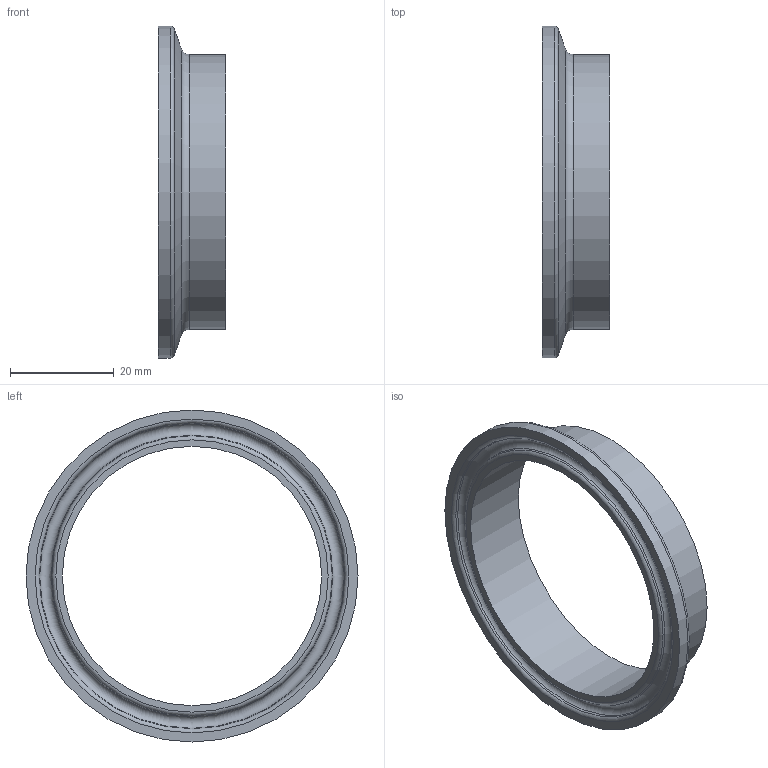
import cadquery as cq
import math

LENGTH = 13.0
BORE_RADIUS = 50.0 / 2
TUBE_RADIUS = 53.0 / 2
FLANGE_RADIUS = 64.0 / 2

RIM_THICKNESS = 2.85
BACK_SLOPE = math.radians(20)
RIM_FILLET = 0.8
NECK_FILLET = 1.6

GROOVE_MID_RADIUS = 56.5 / 2
GROOVE_WIDTH = 4.0
GROOVE_DEPTH = 1.6
GROOVE_LIP_FILLET = 0.8
GROOVE_FLOOR_RADIUS = 1.2


def revolve_about_x(profile):
    """Turn a profile drawn as (X, radius) once around the X axis."""
    return profile.revolve(360, (0, 0, 0), (1, 0, 0))


def arc_point(center, radius, angle):
    """Point on a circle, with the angle measured from +X towards +radius."""
    return (center[0] + radius * math.cos(angle), center[1] + radius * math.sin(angle))


def make_body():
    """Tube and flange, with the rim and the neck rounded tangent to the cone."""
    right_angle = math.pi / 2
    mid_angle = (right_angle + BACK_SLOPE) / 2

    rim_tangent = RIM_FILLET * math.tan((right_angle - BACK_SLOPE) / 2)
    rim_center = (RIM_THICKNESS - rim_tangent, FLANGE_RADIUS - RIM_FILLET)
    cone_top = arc_point(rim_center, RIM_FILLET, BACK_SLOPE)

    neck_center_radius = TUBE_RADIUS + NECK_FILLET
    cone_bottom_radius = neck_center_radius - NECK_FILLET * math.sin(BACK_SLOPE)
    cone_bottom_x = cone_top[0] + (cone_top[1] - cone_bottom_radius) * math.tan(BACK_SLOPE)
    neck_center = (cone_bottom_x + NECK_FILLET * math.cos(BACK_SLOPE), neck_center_radius)

    profile = (
        cq.Workplane("XY")
        .moveTo(0, BORE_RADIUS)
        .lineTo(0, FLANGE_RADIUS)
        .lineTo(rim_center[0], FLANGE_RADIUS)
        .threePointArc(arc_point(rim_center, RIM_FILLET, mid_angle), cone_top)
        .lineTo(cone_bottom_x, cone_bottom_radius)
        .threePointArc(
            arc_point(neck_center, NECK_FILLET, math.pi + mid_angle),
            (neck_center[0], TUBE_RADIUS),
        )
        .lineTo(LENGTH, TUBE_RADIUS)
        .lineTo(LENGTH, BORE_RADIUS)
        .close()
    )
    return revolve_about_x(profile)


def make_groove():
    """Ring with a round floor and rounded lips, joined by straight tangent walls."""
    half_width = GROOVE_WIDTH / 2
    floor_center = (GROOVE_DEPTH - GROOVE_FLOOR_RADIUS, GROOVE_MID_RADIUS)
    inner_lip_center = (GROOVE_LIP_FILLET, GROOVE_MID_RADIUS - half_width)
    outer_lip_center = (GROOVE_LIP_FILLET, GROOVE_MID_RADIUS + half_width)

    center_offset = GROOVE_LIP_FILLET - floor_center[0]
    center_distance = math.hypot(center_offset, half_width)
    radius_sum = GROOVE_LIP_FILLET + GROOVE_FLOOR_RADIUS
    wall_normal = math.atan2(half_width, center_offset) - math.acos(radius_sum / center_distance)
    lip_mid_angle = math.pi - wall_normal / 2

    profile = (
        cq.Workplane("XY")
        .moveTo(0, inner_lip_center[1])
        .threePointArc(
            arc_point(inner_lip_center, GROOVE_LIP_FILLET, lip_mid_angle),
            arc_point(inner_lip_center, GROOVE_LIP_FILLET, math.pi - wall_normal),
        )
        .lineTo(*arc_point(floor_center, GROOVE_FLOOR_RADIUS, -wall_normal))
        .threePointArc(
            arc_point(floor_center, GROOVE_FLOOR_RADIUS, 0),
            arc_point(floor_center, GROOVE_FLOOR_RADIUS, wall_normal),
        )
        .lineTo(*arc_point(outer_lip_center, GROOVE_LIP_FILLET, wall_normal - math.pi))
        .threePointArc(
            arc_point(outer_lip_center, GROOVE_LIP_FILLET, -lip_mid_angle),
            (0, outer_lip_center[1]),
        )
        .close()
    )
    return revolve_about_x(profile)


result = make_body().cut(make_groove())